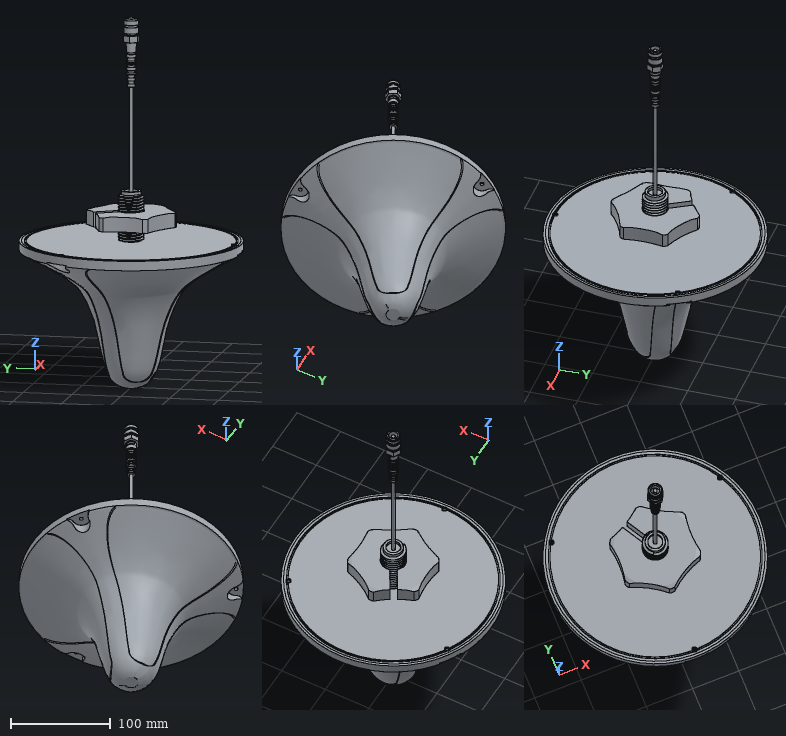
import cadquery as cq
import math


rim_radius = 225.07 / 2
rim_top = 149.6
rim_bottom = 140.0
rim_wall = 2.6
bell_shoulder = (111.0, 138.7)
bell_flank = [
    (94.2, 129.2),
    (73.5, 116.7),
    (54.6, 101.6),
    (45.2, 86.0),
    (38.6, 69.0),
    (30.9, 35.0),
    (27.4, 21.0),
    (18.0, 5.3),
    (0, 0),
]
rib_height = 0.7
rib_count = 3
rib_azimuth = 30.0
rib_half_width = 10.5
rib_foot_corner_half_width = 15.7
rib_foot_middle_half_width = 11.5
rib_foot_half_width = 30.0
rib_foot_top = 9.0
rib_foot_middle = 12.3
rib_foot_blend_top = 19.0
rib_flare_half_width = 40.0
rib_flare_start = 100.0
rib_flare_middle_half_width = 16.0
rib_flare_middle = 121.5

screw_circle_radius = 105.0
screw_hole_radius = 1.8
screw_recess_radius = 2.6
screw_recess_depth = 1.5
screw_pocket_radius = 8.7
screw_pocket_roof = 141.3
pocket_mouth_half_width = 15.5
pocket_mouth_depth = 3.5
pocket_mouth_bend = 1.2

plate_thickness = 5.0
plate_radius = rim_radius - rim_wall
plate_bottom = rim_top - plate_thickness
groove_outer_radius = 107.0
groove_inner_radius = 105.4
groove_depth = 1.0
stud_core_radius = 10.2
stud_top = 200.5
thread_radius = 13.0
thread_pitch = 3.0
thread_top = 197.8
thread_root_width = 2.4
thread_crest_width = 0.5
thread_root_overlap = 0.3
stud_recess_radius = 7.5
stud_recess_depth = 3.0

nut_thread_clearance = 0.1
nut_bottom = 165.0
nut_top = 180.2
nut_tip_radius = 45.9
nut_corner_half_width = 2.8
nut_corner_rise = 0.5
nut_side_radius = 38.6
nut_corner_count = 6
nut_first_azimuth = 30.0
nut_chamfer_radius = 41.5
nut_chamfer_drop = 1.2
nut_slot_width = 7.3
nut_slot_azimuth = 120.0

cable_radius = 2.0
connector_bottom = 306.2
connector_top = 376.11
socket_radius = 4.6
socket_depth = 8.0
contact_radius = 2.0
contact_height = 6.0
tip_radius = 6.4
tip_bottom = 374.3
head_radius = 7.4
head_groove_top = 369.6
head_groove_bottom = 367.3
head_bottom = 361.2
hex_bottom = 352.0
hex_across_flats = 14.9
hex_groove_radius = 7.0
hex_groove_centre = 359.3
hex_groove_width = 0.9
sleeve_radius = 5.2
sleeve_bottom = 341.5
clip_radius = 6.1
clip_bottom = 346.6
clip_top = 350.2
boot_top_radius = 4.4
boot_bottom_radius = 3.1
large_ring_radius = 5.1
small_ring_radius = 4.1
thick_ring = 3.3
medium_ring = 1.8
thin_ring = 1.0
boot_rings = [
    (338.0, thick_ring, large_ring_radius),
    (332.3, medium_ring, large_ring_radius),
    (329.5, thin_ring, large_ring_radius),
    (325.0, thick_ring, large_ring_radius),
    (320.0, medium_ring, large_ring_radius),
    (314.2, thick_ring, small_ring_radius),
    (connector_bottom + thick_ring / 2, thick_ring, small_ring_radius),
]


def cylinder(radius, bottom, top):
    return cq.Workplane("XY").workplane(offset=bottom).circle(radius).extrude(top - bottom)


def around(shape, count, first_azimuth):
    """Copies of a shape that points along +X, spread evenly about Z."""
    return [
        shape.rotate((0, 0, 0), (0, 0, 1), first_azimuth + index * 360 / count)
        for index in range(count)
    ]


def screw_holes(radius, bottom, top):
    hole = cylinder(radius, bottom, top).translate((screw_circle_radius, 0, 0))
    return around(hole, rib_count, rib_azimuth)


def bell(inset):
    """Solid bell of the radome, its curved surface moved inward by the inset."""
    shoulder = (bell_shoulder[0] - inset, bell_shoulder[1] + inset)
    flank = [(max(radius - inset, 0), height + inset) for radius, height in bell_flank]
    return (
        cq.Workplane("XZ")
        .moveTo(0, rim_top)
        .lineTo(rim_radius, rim_top)
        .lineTo(rim_radius, rim_bottom)
        .lineTo(*shoulder)
        .spline(flank, includeCurrent=True)
        .close()
        .revolve(360, (0, 0, 0), (0, 1, 0))
    )


def rib_strip():
    """Band along +X that flares at the rim and spreads over the tip of the bell."""
    half = (
        cq.Workplane("YZ")
        .moveTo(0, 0)
        .lineTo(rib_foot_half_width, 0)
        .lineTo(rib_foot_half_width, rib_foot_top)
        .lineTo(rib_foot_corner_half_width, rib_foot_top)
        .threePointArc(
            (rib_foot_middle_half_width, rib_foot_middle),
            (rib_half_width, rib_foot_blend_top),
        )
        .lineTo(rib_half_width, rib_flare_start)
        .threePointArc(
            (rib_flare_middle_half_width, rib_flare_middle),
            (rib_flare_half_width, rim_bottom),
        )
        .lineTo(0, rim_bottom)
        .close()
        .extrude(rim_radius)
    )
    return half.union(half.mirror("XZ")).clean()


def screw_pocket():
    """Round pocket along +X, open below, with a mouth that splays out through the rim."""
    bore = cylinder(screw_pocket_radius, 0, screw_pocket_roof).translate((screw_circle_radius, 0, 0))
    bend_x = rim_radius - pocket_mouth_depth
    bend_y = screw_pocket_radius + pocket_mouth_bend
    mouth = (
        cq.Workplane("XY")
        .moveTo(screw_circle_radius, -screw_pocket_radius)
        .threePointArc((bend_x, -bend_y), (rim_radius, -pocket_mouth_half_width))
        .lineTo(rim_radius, pocket_mouth_half_width)
        .threePointArc((bend_x, bend_y), (screw_circle_radius, screw_pocket_radius))
        .close()
        .extrude(screw_pocket_roof)
    )
    return bore.union(mouth)


def make_radome():
    proud_bell = bell(0)
    body = bell(rib_height)
    for strip in around(rib_strip(), rib_count, rib_azimuth):
        body = body.union(proud_bell.intersect(strip))
    body = body.cut(cylinder(plate_radius, plate_bottom, rim_top))
    for pocket in around(screw_pocket(), rib_count, rib_azimuth):
        body = body.cut(pocket)
    for hole in screw_holes(screw_hole_radius, rim_bottom, rim_top):
        body = body.cut(hole)
    return body


def stud_thread():
    """Helical ridge of the stud, from inside the plate up to the plain end."""
    start = rim_top - thread_pitch
    inner = stud_core_radius - thread_root_overlap
    path = cq.Workplane(
        cq.Wire.makeHelix(thread_pitch, thread_top - thread_root_width / 2 - start, inner)
    ).translate((0, 0, start))
    return (
        cq.Workplane("XZ")
        .polyline([
            (inner, start - thread_root_width / 2),
            (thread_radius, start - thread_crest_width / 2),
            (thread_radius, start + thread_crest_width / 2),
            (inner, start + thread_root_width / 2),
        ])
        .close()
        .sweep(path, isFrenet=True)
    )


def make_base():
    body = cylinder(plate_radius, plate_bottom, rim_top)
    groove = cylinder(groove_outer_radius, rim_top - groove_depth, rim_top).cut(
        cylinder(groove_inner_radius, rim_top - groove_depth, rim_top)
    )
    body = body.cut(groove)
    for hole in screw_holes(screw_hole_radius, plate_bottom, rim_top):
        body = body.cut(hole)
    for recess in screw_holes(screw_recess_radius, rim_top - screw_recess_depth, rim_top):
        body = body.cut(recess)
    stud = cylinder(stud_core_radius, plate_bottom, stud_top).union(stud_thread())
    body = body.union(stud)
    body = body.cut(cylinder(stud_recess_radius, stud_top - stud_recess_depth, stud_top))
    return body.cut(cylinder(cable_radius, plate_bottom, stud_top))


def polar(radius, sideways, azimuth):
    """Point at a radius along an azimuth, moved sideways from that line."""
    angle = math.radians(azimuth)
    return (
        radius * math.cos(angle) - sideways * math.sin(angle),
        radius * math.sin(angle) + sideways * math.cos(angle),
    )


def make_nut():
    corner_radius = nut_tip_radius - nut_corner_rise
    outline = cq.Workplane("XY").workplane(offset=nut_bottom)
    outline = outline.moveTo(*polar(corner_radius, -nut_corner_half_width, nut_first_azimuth))
    corner_step = 360 / nut_corner_count
    for index in range(nut_corner_count):
        azimuth = nut_first_azimuth + index * corner_step
        outline = outline.threePointArc(
            polar(nut_tip_radius, 0, azimuth),
            polar(corner_radius, nut_corner_half_width, azimuth),
        ).threePointArc(
            polar(nut_side_radius, 0, azimuth + corner_step / 2),
            polar(corner_radius, -nut_corner_half_width, azimuth + corner_step),
        )
    nut = outline.close().extrude(nut_top - nut_bottom)
    envelope = (
        cq.Workplane("XZ")
        .polyline([
            (0, nut_bottom),
            (nut_tip_radius, nut_bottom),
            (nut_tip_radius, nut_top - nut_chamfer_drop),
            (nut_chamfer_radius, nut_top),
            (0, nut_top),
        ])
        .close()
        .revolve(360, (0, 0, 0), (0, 1, 0))
    )
    slot = (
        cq.Workplane("XY")
        .box(nut_tip_radius, nut_slot_width, nut_top - nut_bottom, centered=(False, True, False))
        .rotate((0, 0, 0), (0, 0, 1), nut_slot_azimuth)
        .translate((0, 0, nut_bottom))
    )
    bore = cylinder(thread_radius + nut_thread_clearance, nut_bottom, nut_top)
    return nut.intersect(envelope).cut(slot).cut(bore)


def make_cable():
    return cylinder(cable_radius, plate_bottom, connector_bottom)


def make_boot():
    """Tapered strain relief with its rings."""
    boot = (
        cq.Workplane("XY")
        .workplane(offset=connector_bottom)
        .circle(boot_bottom_radius)
        .workplane(offset=sleeve_bottom - connector_bottom)
        .circle(boot_top_radius)
        .loft()
    )
    for centre, thickness, radius in boot_rings:
        boot = boot.union(cylinder(radius, centre - thickness / 2, centre + thickness / 2))
    return boot


def make_connector():
    hexagon = (
        cq.Workplane("XY")
        .workplane(offset=hex_bottom)
        .polygon(6, hex_across_flats / math.cos(math.radians(30)))
        .extrude(head_bottom - hex_bottom)
    )
    groove_bottom = hex_groove_centre - hex_groove_width / 2
    groove_top = hex_groove_centre + hex_groove_width / 2
    hexagon = hexagon.cut(
        cylinder(hex_across_flats, groove_bottom, groove_top).cut(
            cylinder(hex_groove_radius, groove_bottom, groove_top)
        )
    )
    half_space = cq.Workplane("XY").box(
        clip_radius, 2 * clip_radius, connector_top, centered=(False, True, False)
    )
    clip = cylinder(clip_radius, clip_bottom, clip_top).intersect(half_space)
    head = (
        cylinder(tip_radius, head_bottom, connector_top)
        .union(cylinder(head_radius, head_groove_top, tip_bottom))
        .union(cylinder(head_radius, head_bottom, head_groove_bottom))
        .cut(cylinder(socket_radius, connector_top - socket_depth, connector_top))
    )
    socket_floor = connector_top - socket_depth
    contact = cylinder(contact_radius, socket_floor, socket_floor + contact_height)
    sleeve = cylinder(sleeve_radius, sleeve_bottom, hex_bottom)
    return make_boot().union(sleeve).union(clip).union(hexagon).union(head).union(contact)


radome = make_radome()
base = make_base()
nut = make_nut()
cable = make_cable()
connector = make_connector()

result = cq.Compound.makeCompound([
    *radome.solids().vals(),
    *base.solids().vals(),
    *nut.solids().vals(),
    *cable.solids().vals(),
    *connector.solids().vals(),
])